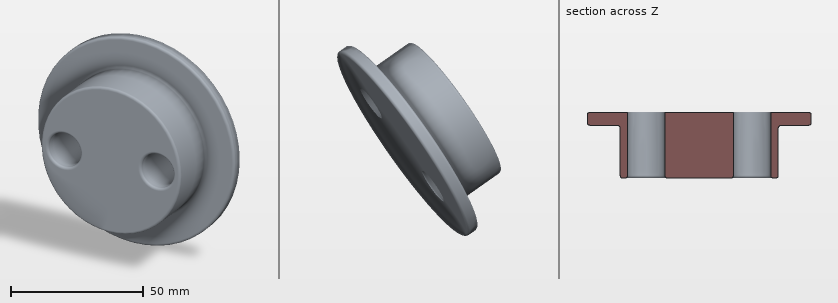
import cadquery as cq

flange_diameter = 85.0
flange_thickness = 5.0
boss_diameter = 60.0
boss_height = 20.0
hole_diameter = 14.0
hole_spacing = 40.0
edge_radius = 1.0

total_depth = flange_thickness + boss_height


def disc(diameter, depth):
    """Solid disc on the Y axis, from the back face at Y = 0 towards -Y."""
    return cq.Workplane("XZ").circle(diameter / 2).extrude(depth)


body = disc(flange_diameter, flange_thickness).union(disc(boss_diameter, total_depth))

hole_centres = [(-hole_spacing / 2, 0), (hole_spacing / 2, 0)]
holes = (
    cq.Workplane("XZ")
    .pushPoints(hole_centres)
    .circle(hole_diameter / 2)
    .extrude(total_depth)
)

body = body.edges("%CIRCLE").fillet(edge_radius)
body = body.cut(holes)

front_face = body.faces("<Y")
result = front_face.edges(cq.selectors.RadiusNthSelector(0)).fillet(edge_radius)